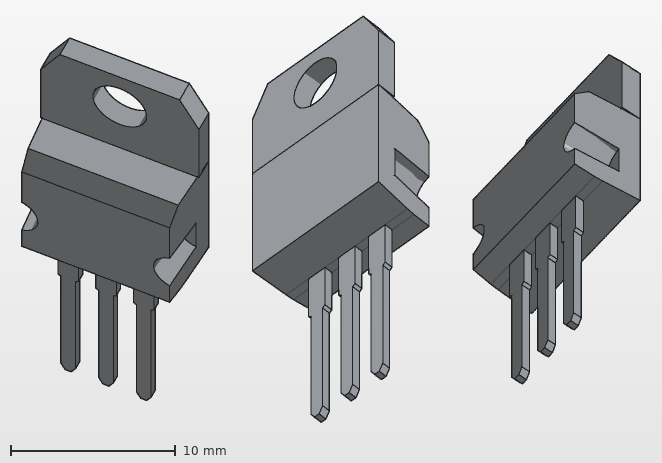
import cadquery as cq
import math


total_height = 28.7
package_height = 15.95
lowest_edge_z = total_height - package_height

tab_width = 10.65
tab_thickness = 1.4
tab_height = 7.1
tab_corner_width = 1.3
tab_corner_angle = 60
tab_corner_height = tab_corner_width * math.tan(math.radians(tab_corner_angle))
hole_diameter = 3.6
hole_below_top = 2.95

housing_depth = 4.8
housing_top_z = total_height - tab_height
housing_front_width = 9.95
top_draft = 3
bevel_start_y = -3.75
bevel_end_below_top = 1.2
bottom_edge_rise = 0.15

notch_floor_y = -1.55
notch_floor_radius = 1.2
notch_front_radius = 1.43
notch_below_top = 12.75

lead_count = 3
lead_pitch = 2.54
lead_thickness = 0.6
lead_front_y = -3.35
lead_back_y = lead_front_y + lead_thickness
lead_wide = 1.4
lead_narrow = 1.0
lead_tip_width = 0.4
lead_tip_height = 0.5
shoulder_below_top = 19.3
shoulder_height = 0.15


def make_tab():
    """Flat plate with two cut corners and a mounting hole."""
    half_width = tab_width / 2
    corner_z = total_height - tab_corner_height
    plate = (
        cq.Workplane("XZ")
        .moveTo(-half_width, housing_top_z)
        .lineTo(-half_width, corner_z)
        .lineTo(-half_width + tab_corner_width, total_height)
        .lineTo(half_width - tab_corner_width, total_height)
        .lineTo(half_width, corner_z)
        .lineTo(half_width, housing_top_z)
        .close()
        .extrude(tab_thickness)
    )
    hole = (
        cq.Workplane("XZ")
        .center(0, total_height - hole_below_top)
        .circle(hole_diameter / 2)
        .extrude(tab_thickness)
    )
    return plate.cut(hole)


def make_notch_cutter(side):
    """Cone that widens towards the front, centred on one long back edge of the housing."""
    return (
        cq.Workplane("XZ", origin=(side * tab_width / 2, notch_floor_y, total_height - notch_below_top))
        .circle(notch_floor_radius)
        .workplane(offset=housing_depth + notch_floor_y)
        .circle(notch_front_radius)
        .loft()
    )


def make_housing():
    """Moulded block: side profile across the full width, with the sides tapering to the front.

    The top is level under the tab, and the bottom is level only where the leads meet it.
    """
    sloped_depth = -bevel_start_y - tab_thickness
    bevel_start_z = housing_top_z - sloped_depth * math.tan(math.radians(top_draft))
    back_and_front_bottom_z = lowest_edge_z + bottom_edge_rise
    side_profile = (
        cq.Workplane("YZ")
        .polyline([
            (0, housing_top_z),
            (-tab_thickness, housing_top_z),
            (bevel_start_y, bevel_start_z),
            (-housing_depth, housing_top_z - bevel_end_below_top),
            (-housing_depth, back_and_front_bottom_z),
            (lead_front_y, lowest_edge_z),
            (lead_back_y, lowest_edge_z),
            (0, back_and_front_bottom_z),
        ])
        .close()
        .extrude(tab_width / 2, both=True)
    )
    plan_taper = (
        cq.Workplane("XY")
        .polyline([
            (-tab_width / 2, 0),
            (-housing_front_width / 2, -housing_depth),
            (housing_front_width / 2, -housing_depth),
            (tab_width / 2, 0),
        ])
        .close()
        .extrude(total_height)
    )
    block = side_profile.intersect(plan_taper)
    for side in (-1, 1):
        block = block.cut(make_notch_cutter(side))
    return block


def make_lead(x):
    """Flat lead: wide root, short shoulder, narrow pin and a pointed tip."""
    shoulder_top_z = total_height - shoulder_below_top
    right_edge = [
        (lead_wide / 2, lowest_edge_z),
        (lead_wide / 2, shoulder_top_z),
        (lead_narrow / 2, shoulder_top_z - shoulder_height),
        (lead_narrow / 2, lead_tip_height),
        (lead_tip_width / 2, 0),
    ]
    left_edge = [(-half, z) for half, z in reversed(right_edge)]
    return (
        cq.Workplane("XZ", origin=(x, lead_back_y, 0))
        .polyline(right_edge + left_edge)
        .close()
        .extrude(lead_thickness)
    )


tab = make_tab()
housing = make_housing()
first_lead_x = -(lead_count - 1) / 2 * lead_pitch
leads = [make_lead(first_lead_x + index * lead_pitch) for index in range(lead_count)]

result = cq.Compound.makeCompound([tab.val(), housing.val(), *[lead.val() for lead in leads]])